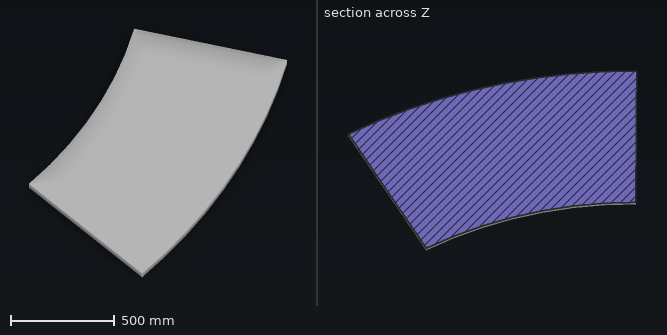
import cadquery as cq
import math

length_y = 1442.0
thickness = 32.0
inner_radius = 2028.0
start_angle = 21.0
sweep_angle = 30.0
end_angle = start_angle + sweep_angle
middle_angle = start_angle + sweep_angle / 2

inner_start_y = inner_radius * math.sin(math.radians(start_angle))
outer_radius = (length_y + inner_start_y) / math.sin(math.radians(end_angle))


def polar_point(radius, angle):
    """Point at a radius and an angle in degrees from +X."""
    turn = math.radians(angle)
    return (radius * math.cos(turn), radius * math.sin(turn))


result = (
    cq.Workplane("XY")
    .moveTo(*polar_point(inner_radius, start_angle))
    .lineTo(*polar_point(outer_radius, start_angle))
    .threePointArc(polar_point(outer_radius, middle_angle), polar_point(outer_radius, end_angle))
    .lineTo(*polar_point(inner_radius, end_angle))
    .threePointArc(polar_point(inner_radius, middle_angle), polar_point(inner_radius, start_angle))
    .close()
    .extrude(thickness)
)